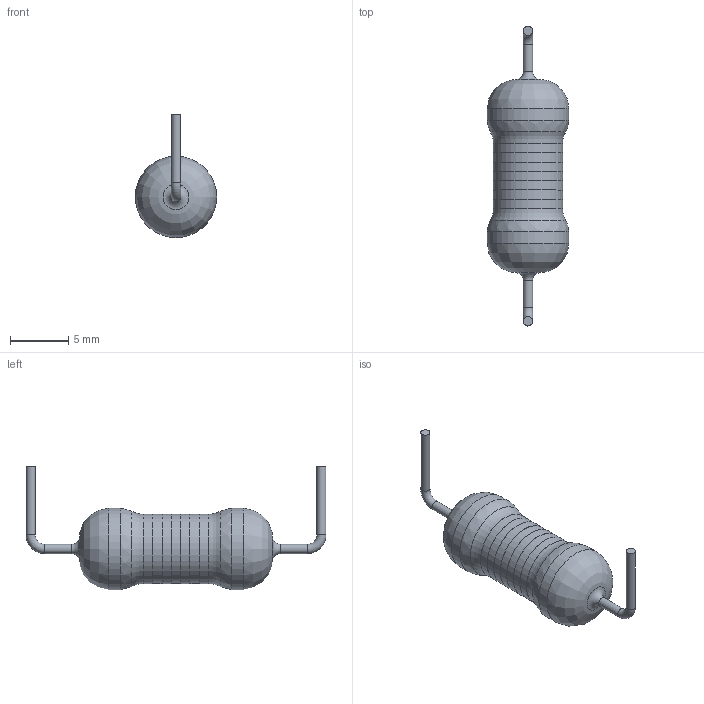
import cadquery as cq


cap_radius = 7.0 / 2
waist_radius = 5.95 / 2
body_half_length = 8.3
cap_round_length = 2.5
cap_land_length = 1.0
neck_length = 2.0

band_radius = 5.97 / 2
band_width = 0.8
band_count = 4

lead_radius = 0.8 / 2
lead_flare_radius = 0.7
lead_bend_radius = 1.2
lead_pitch = 25.0
lead_top_z = 7.1

cap_round_start = body_half_length - cap_round_length
cap_land_start = cap_round_start - cap_land_length
neck_middle = cap_land_start - neck_length / 2
neck_start = cap_land_start - neck_length
neck_rise = (cap_radius - waist_radius) / 2
neck_arc_radius = ((neck_length / 2) ** 2 + neck_rise**2) / (2 * neck_rise)
lead_start = body_half_length + lead_flare_radius
lead_bend_start = lead_pitch / 2 - lead_bend_radius


def make_body_end():
    """+Y end of the body: S-shaped neck, rounded cap and lead flare."""
    profile = (
        cq.Workplane("XY")
        .moveTo(0, neck_start)
        .lineTo(waist_radius, neck_start)
        .radiusArc((waist_radius + neck_rise, neck_middle), neck_arc_radius)
        .tangentArcPoint((cap_radius, cap_land_start), relative=False)
        .lineTo(cap_radius, cap_round_start)
        .tangentArcPoint((lead_radius + lead_flare_radius, body_half_length), relative=False)
        .radiusArc((lead_radius, lead_start), lead_flare_radius)
        .lineTo(0, lead_start)
        .close()
    )
    return profile.revolve(360, (0, 0, 0), (0, 1, 0))


def make_lead():
    """Lead on the +Y end: straight run, quarter bend and upright."""
    path = (
        cq.Workplane("YZ")
        .moveTo(lead_start, 0)
        .lineTo(lead_bend_start, 0)
        .tangentArcPoint((lead_bend_radius, lead_bend_radius))
        .lineTo(lead_pitch / 2, lead_top_z)
    )
    section = cq.Workplane("XZ", origin=(0, lead_start, 0)).circle(lead_radius)
    return section.sweep(path)


def make_disc(radius, start_y, length):
    """Cylinder about the Y axis that runs from start_y towards +Y."""
    return cq.Workplane("XZ", origin=(0, start_y, 0)).circle(radius).extrude(-length)


waist = make_disc(waist_radius, -neck_start, 2 * neck_start)
end = make_body_end().union(make_lead())
result = waist.union(end).union(end.mirror("XZ"))

first_band_y = -(2 * band_count - 1) * band_width / 2
for index in range(band_count):
    band = make_disc(band_radius, first_band_y + 2 * index * band_width, band_width)
    result = result.union(band)